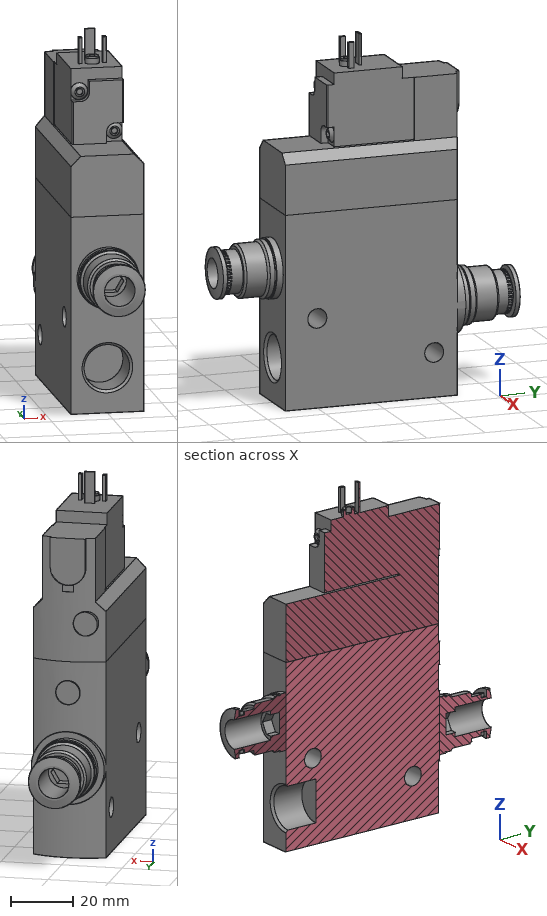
import cadquery as cq
import math


width = 24.0
half_width = width / 2
block_top = 65.2
base_top = 85.2
top_chamfer = 3.3
back_crown = 61.5
back_sagitta = 2.4
boss_face = 61.9
boss_diameter = 24.1
port_pitch = 15.0
lower_port_z = 15.0
middle_port_z = lower_port_z + port_pitch
upper_port_z = middle_port_z + port_pitch
thread_diameter = 15.0
thread_mouth_diameter = 16.6
port_depth = 12.0
mounting_hole_diameter = 6.5
mounting_holes = [(51.1, lower_port_z), (11.0, middle_port_z)]

pilot_half_width = half_width - top_chamfer
pilot_front = 45.5
pilot_top = 106.3
tab_half_width = 5.8
tab_arc_z = 96.4
stop_width = 3.6
stop_height = 2.2
stop_face = 61.7

back_button_diameter = 8.0
block_button = (0, 55.0)
base_button = (-5.8, 78.1)
raised_root = back_crown - 2 * back_sagitta

coil_half_width = 8.4
coil_front = 15.5
coil_bottom = base_top + 0.4
coil_edge = 0.4
plug_front = 18.1
plug_back = 41.5
plug_top = 110.1
cover_screw_x = 5.72
cover_screw_z = 6.69
notch_radius = 2.9
screw_head_diameter = 5.5
screw_top_diameter = 3.1
screw_head_height = 1.2
screw_socket_diameter = 2.0
screw_socket_depth = 0.7

contact_y = 25.4
blade_offset = 4.0
blade_thickness = 1.1
blade_width = 1.8
blade_top = 118.7
earth_y = 29.5
earth_width = 3.3
earth_thickness = 0.7
earth_top = 120.5
bush_diameter = 4.7
bush_rim_diameter = 4.1
bush_hole_diameter = 2.0
bush_height = 1.8
bush_rim_height = 0.6

fitting_length = 20.6
flange_diameter = 20.0
flange_end = 2.2
groove_diameter = 19.0
groove_end = 2.7
collar_diameter = 19.4
collar_end = 4.3
barrel_start = 5.1
barrel_diameter = 17.8
barrel_end = 12.0
barrel_chamfer = 0.7
sleeve_diameter = 14.5
sleeve_end = 18.0
neck_diameter = 11.9
ring_start = 18.5
ring_diameter = 17.0
ring_end = 20.0
tip_diameter = 11.5
tube_bore_diameter = 10.0
tube_bore_depth = 14.5
hex_across_corners = 8.3
hex_depth = 3.6
slot_count = 36
slot_width = 0.6
slot_length = 1.3


def box(x_range, y_range, z_range):
    """Axis-aligned box given by its two ends along each axis."""
    size = [high - low for low, high in (x_range, y_range, z_range)]
    corner = (x_range[0], y_range[0], z_range[0])
    return cq.Workplane("XY").box(*size, centered=False).translate(corner)


def cylinder_y(x, z, diameter, y_start, y_end):
    """Cylinder along Y."""
    disc = cq.Workplane("XZ", origin=(x, y_start, z)).circle(diameter / 2)
    return disc.extrude(y_start - y_end)


def rounded_back_prism(half, y_front, z_bottom, z_top):
    """Prism along Z whose back face is the crowned arc shared by all rear faces."""
    radius = (half_width**2 + back_sagitta**2) / (2 * back_sagitta)
    y_side = back_crown - radius + math.sqrt(radius**2 - half**2)
    return (
        cq.Workplane("XY", origin=(0, 0, z_bottom))
        .moveTo(-half, y_front)
        .lineTo(half, y_front)
        .lineTo(half, y_side)
        .threePointArc((0, back_crown), (-half, y_side))
        .close()
        .extrude(z_top - z_bottom)
    )


def back_button(x, z):
    return cylinder_y(x, z, back_button_diameter, raised_root, boss_face)


def make_valve_block():
    body = rounded_back_prism(half_width, 0, 0, block_top)
    body = body.union(back_button(*block_button))

    boss = cylinder_y(0, middle_port_z, boss_diameter, raised_root, boss_face)
    sides = box((-half_width, half_width), (raised_root, boss_face), (0, block_top))
    body = body.union(boss.intersect(sides))

    mouth_chamfer = (thread_mouth_diameter - thread_diameter) / 2
    mouth = (
        cq.Workplane("XZ", origin=(0, 0, lower_port_z))
        .circle(thread_mouth_diameter / 2)
        .workplane(offset=-mouth_chamfer)
        .circle(thread_diameter / 2)
        .loft()
    )
    body = body.cut(cylinder_y(0, lower_port_z, thread_diameter, 0, port_depth)).cut(mouth)

    for y, z in mounting_holes:
        hole = (
            cq.Workplane("YZ", origin=(-half_width, y, z))
            .circle(mounting_hole_diameter / 2)
            .extrude(width)
        )
        body = body.cut(hole)
    return body


def make_pilot_base():
    """Chamfered base of the pilot head with the pilot block on its rear."""
    body = rounded_back_prism(half_width, 0, block_top, base_top)
    for side in (-1, 1):
        edge_cut = (
            cq.Workplane("XZ")
            .moveTo(side * half_width, base_top - top_chamfer)
            .lineTo(side * half_width, base_top)
            .lineTo(side * (half_width - top_chamfer), base_top)
            .close()
            .extrude(-boss_face)
        )
        body = body.cut(edge_cut)

    body = body.union(rounded_back_prism(pilot_half_width, pilot_front, base_top, pilot_top))
    tab = box((-tab_half_width, tab_half_width), (raised_root, boss_face), (tab_arc_z, pilot_top))
    tab_end = cylinder_y(0, tab_arc_z, 2 * tab_half_width, raised_root, boss_face)
    tab_bottom = tab_arc_z - tab_half_width
    stop = box(
        (-stop_width / 2, stop_width / 2),
        (raised_root, stop_face),
        (tab_bottom - stop_height, tab_bottom),
    )
    body = body.union(tab).union(tab_end).union(stop)
    return body.union(back_button(*base_button))


def cover_notch(side, z):
    """Screw recess open towards one side and one end of the cover."""
    x = side * cover_screw_x
    edge_x = side * half_width
    end_z = z - side * 2 * notch_radius
    depth = (coil_front, plug_front)
    x_inner = x - side * notch_radius
    z_inner = z + side * notch_radius
    notch = cylinder_y(x, z, 2 * notch_radius, *depth)
    notch = notch.union(box(sorted((x_inner, edge_x)), depth, sorted((z, end_z))))
    return notch.union(box(sorted((x, edge_x)), depth, sorted((z_inner, end_z))))


def cover_screw(x, z):
    """Domed screw head standing on the bottom of its recess."""
    head = (
        cq.Workplane("XZ", origin=(x, plug_front, z))
        .circle(screw_head_diameter / 2)
        .workplane(offset=screw_head_height)
        .circle(screw_top_diameter / 2)
        .loft()
    )
    top_y = plug_front - screw_head_height
    return head.cut(cylinder_y(x, z, screw_socket_diameter, top_y, top_y + screw_socket_depth))


def blade(x, y, x_size, y_size, top):
    return box(
        (x - x_size / 2, x + x_size / 2),
        (y - y_size / 2, y + y_size / 2),
        (plug_top, top),
    )


def make_solenoid():
    sides = (-coil_half_width, coil_half_width)
    coil = box(sides, (coil_front, pilot_front), (coil_bottom, pilot_top))
    coil = coil.edges("|Z and <Y").chamfer(coil_edge)
    coil = coil.union(box(sides, (plug_front, plug_back), (coil_bottom, plug_top)))

    cover_centre = (coil_bottom + pilot_top) / 2
    for side in (-1, 1):
        z = cover_centre - side * cover_screw_z
        trim = box(sides, (coil_front, pilot_front), (coil_bottom, pilot_top))
        screw = cover_screw(side * cover_screw_x, z).intersect(trim)
        coil = coil.cut(cover_notch(side, z)).union(screw)

    coil = coil.union(blade(0, earth_y, earth_width, earth_thickness, earth_top))
    for side in (-1, 1):
        contact = blade(side * blade_offset, contact_y, blade_thickness, blade_width, blade_top)
        coil = coil.union(contact)
    bush = (
        cq.Workplane("XY", origin=(0, contact_y, plug_top))
        .circle(bush_diameter / 2)
        .extrude(bush_height)
        .faces(">Z")
        .workplane()
        .circle(bush_rim_diameter / 2)
        .extrude(bush_rim_height)
        .faces(">Z")
        .workplane()
        .hole(bush_hole_diameter, bush_height)
    )
    return coil.union(bush)


def make_fitting():
    """Push-in fitting seated at the origin and pointing along +Z."""
    profile = [
        (0, 0),
        (flange_diameter / 2, 0),
        (flange_diameter / 2, flange_end),
        (groove_diameter / 2, flange_end),
        (groove_diameter / 2, groove_end),
        (collar_diameter / 2, groove_end),
        (collar_diameter / 2, collar_end),
        (barrel_diameter / 2, barrel_start),
        (barrel_diameter / 2, barrel_end),
        (barrel_diameter / 2 - barrel_chamfer, barrel_end + barrel_chamfer),
        (sleeve_diameter / 2, barrel_end + barrel_chamfer),
        (sleeve_diameter / 2, sleeve_end),
        (neck_diameter / 2, sleeve_end),
        (neck_diameter / 2, ring_start),
        (ring_diameter / 2, ring_start),
        (ring_diameter / 2, ring_end),
        (tip_diameter / 2, fitting_length),
        (0, fitting_length),
    ]
    body = cq.Workplane("XZ").polyline(profile).close().revolve(360, (0, 0), (0, 1))

    sleeve_wall = (sleeve_diameter - neck_diameter) / 2
    slots = (
        cq.Workplane("XY", origin=(0, 0, sleeve_end - slot_length))
        .polarArray((sleeve_diameter - sleeve_wall) / 2, 0, 360, slot_count)
        .rect(sleeve_wall, slot_width)
        .extrude(slot_length)
    )
    body = body.cut(slots)

    top = cq.Workplane("XY", origin=(0, 0, fitting_length))
    body = body.cut(top.circle(tube_bore_diameter / 2).extrude(-tube_bore_depth))
    hexagon = top.polygon(6, hex_across_corners).extrude(-(tube_bore_depth + hex_depth))
    return body.cut(hexagon)


valve_block = make_valve_block()
pilot_head = make_pilot_base().union(make_solenoid())

fitting_places = [(upper_port_z, 0, 90), (middle_port_z, boss_face, -90)]
fittings = []
for seat_z, seat_y, tilt in fitting_places:
    fitting = make_fitting().rotate((0, 0, 0), (1, 0, 0), tilt).translate((0, seat_y, seat_z))
    fittings.append(fitting.val())

result = cq.Compound.makeCompound([valve_block.val(), pilot_head.val(), *fittings])